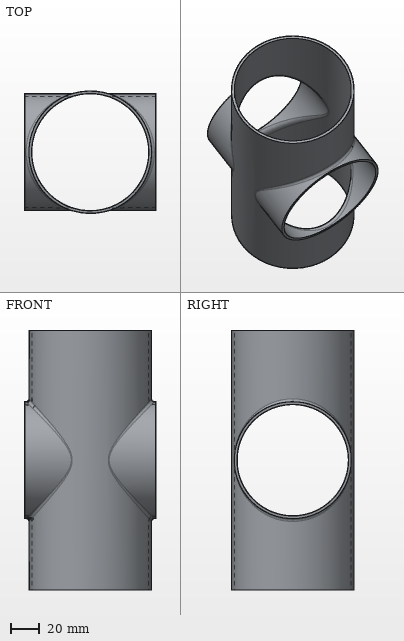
import cadquery as cq

wall_thickness = 2.0

pipe_length = 180.0
pipe_outer_diameter = 85.0
pipe_bore_diameter = pipe_outer_diameter - 2 * wall_thickness

branch_length = 91.0
branch_outer_diameter = 81.0
branch_bore_diameter = branch_outer_diameter - 2 * wall_thickness

outer_blend_radius = 2.0
inner_blend_radius = outer_blend_radius + wall_thickness


def blended_cross(pipe_diameter, branch_diameter, blend_radius):
    """Two solid crossing cylinders with their meeting curves rounded."""
    pipe = cq.Workplane("XY").circle(pipe_diameter / 2).extrude(pipe_length / 2, both=True)
    branch = cq.Workplane("YZ").circle(branch_diameter / 2).extrude(branch_length / 2, both=True)
    return pipe.union(branch).edges("not (%LINE or %CIRCLE)").fillet(blend_radius)


outside = blended_cross(pipe_outer_diameter, branch_outer_diameter, outer_blend_radius)
bores = blended_cross(pipe_bore_diameter, branch_bore_diameter, inner_blend_radius)
result = outside.cut(bores)